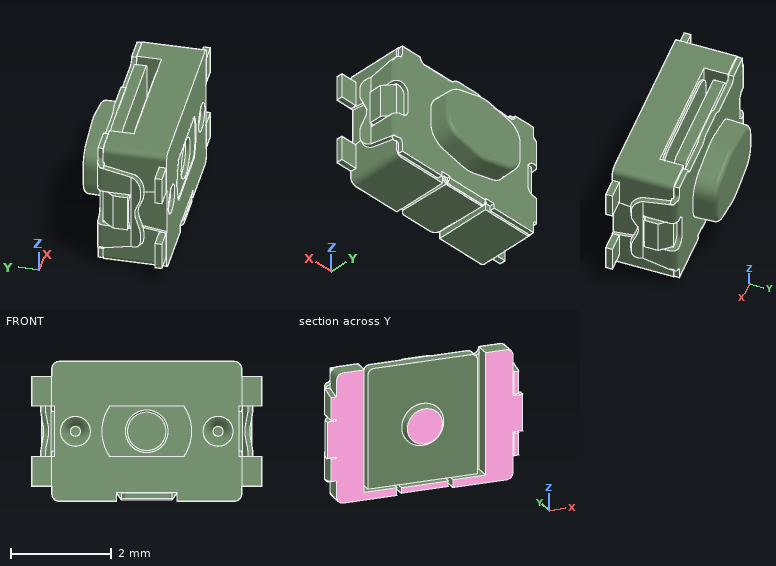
import cadquery as cq
import math


body_length = 3.8
body_height = 2.8
body_depth = 1.3
corner_radius = 0.15

cavity_half_length = 1.295
cavity_front = 0.795
cavity_floor = -1.225
notch_half_length = 0.603

film_thickness = 0.04
film_top = 1.29
film_corner_radius = 0.4

dimple_spacing = 2.85
dimple_diameter = 0.6
dimple_bottom_diameter = 0.2
dimple_wall_depth = 0.085
dimple_flare_depth = 0.3
dimple_flare_sagitta = 0.045
badge_radius = 0.895
badge_half_height = 0.505
badge_depth = 0.02
well_diameter = 0.87
well_bottom_diameter = 0.77
well_depth = 0.1

span = 4.6
terminal_front = 0.01
terminal_thickness = 0.143
terminal_height = 0.6
terminal_center_z = 0.8

recess_depth = 0.055
recess_half_height = badge_half_height
lug_half_height = 0.395
lug_tip_x = 2.1
lug_front = 0.755
lug_shoulder = 1.055

sheet = 0.11
cover_back = body_depth + sheet
cover_half_length = 1.85
cover_half_height = 1.35
cover_recess_depth = 0.14
cover_recess_half_length = 1.335
cover_tab_top = 1.315
cover_tab_half_length = 0.258
cover_tab_root_half_length = 0.52

clip_outer_x = 2.02
clip_inner_x = clip_outer_x - sheet
bend_radius = 0.143
bend_start_x = clip_outer_x - bend_radius
clip_root_half_height = 0.975
clip_shoulder_radius = 0.065
clip_relief_radius = 0.085
clip_end_half_height = 0.85
clip_end_y = 0.7
lip_angle = 26.0
lip_length = 0.235
lip_tilt = math.radians(lip_angle)
hinge_x = clip_outer_x - sheet * math.cos(lip_tilt)
hinge_y = clip_end_y - sheet * math.sin(lip_tilt)
scallop_half_width = 0.385
scallop_apex = 0.065
scallop_blend_radius = 0.3
window_half_height = 0.415
window_corner_front = 0.718
window_corner_start = 0.25
window_inner_x = 1.69
window_corner_radius = 0.185

tongue_half_length = 0.505
tongue_tip_y = -0.028
tongue_tip_top = -1.237
tongue_drop = 0.035
tongue_thickness = 0.1
tongue_corner_radius = 0.15
tongue_bend_chamfer = 0.065
tongue_root_depth = 0.035
tongue_relief_half_length = 0.735

button_half_length = 1.05
button_top = 1.915
button_side_half_flat = 0.185
button_corner_radius = 0.485
button_slant = 14.0
button_crown_half_length = 0.175
button_draft = 2.0
button_edge_fillet = 0.095
flange_half_length = 1.178
flange_front = 1.063
flange_top = 1.35
flange_corner_radius = 0.13
plunger_diameter = 0.9
plunger_tip_diameter = 0.6


def box(x0, x1, y0, y1, z0, z1):
    """Block between the given limits along each axis."""
    return cq.Workplane("XY").box(x1 - x0, y1 - y0, z1 - z0, centered=False).translate((x0, y0, z0))


def facing_front(y):
    """Workplane at depth y, drawn in X and Z; negative extrusion runs toward +Y."""
    return cq.Workplane("XZ", origin=(0, y, 0))


def both_sides(shape):
    """The shape together with its mirror image at the other end in X."""
    return shape.union(shape.mirror("YZ"))


def cone(y0, diameter0, y1, diameter1):
    """Solid cone frustum about the Y axis between depths y0 and y1."""
    return (
        cq.Workplane("XY")
        .polyline([(0, y0), (diameter0 / 2, y0), (diameter1 / 2, y1), (0, y1)])
        .close()
        .revolve(360, (0, 0, 0), (0, 1, 0))
    )


def dimple():
    """Straight-walled mouth that flares inward to a small flat bottom."""
    mouth = dimple_diameter / 2
    bottom = dimple_bottom_diameter / 2
    depth = dimple_wall_depth + dimple_flare_depth
    profile = (
        cq.Workplane("XY")
        .moveTo(0, 0)
        .lineTo(mouth, 0)
        .lineTo(mouth, dimple_wall_depth)
        .sagittaArc((bottom, depth), dimple_flare_sagitta)
        .lineTo(0, depth)
        .close()
    )
    return profile.revolve(360, (0, 0, 0), (0, 1, 0)).translate((dimple_spacing / 2, 0, 0))


def badge():
    """Shallow recess: a disc cut off flat above and below."""
    disc = facing_front(0).circle(badge_radius).extrude(-badge_depth)
    band = box(-badge_radius, badge_radius, 0, badge_depth, -badge_half_height, badge_half_height)
    return disc.intersect(band)


def side_recess():
    """Recess in the end wall, narrowing from the mounting face to the snap lug."""
    outline = [
        (0, recess_half_height),
        (lug_front, lug_half_height),
        (lug_front, -lug_half_height),
        (0, -recess_half_height),
    ]
    floor_x = body_length / 2 - recess_depth
    return cq.Workplane("YZ", origin=(floor_x, 0, 0)).polyline(outline).close().extrude(recess_depth)


def snap_lug():
    root_x = body_length / 2 - recess_depth
    outline = [
        (root_x, lug_front),
        (lug_tip_x, lug_front),
        (lug_tip_x, lug_shoulder),
        (body_length / 2, body_depth),
        (root_x, body_depth),
    ]
    return cq.Workplane("XY").polyline(outline).close().extrude(lug_half_height, both=True)


def housing():
    body = facing_front(0).rect(body_length, body_height).extrude(-body_depth)
    body = body.edges("|Y").fillet(corner_radius)
    top = body_height / 2
    body = body.cut(
        box(-cavity_half_length, cavity_half_length, cavity_front, body_depth, cavity_floor, top)
    )
    body = body.cut(box(-notch_half_length, notch_half_length, 0, body_depth, -top, cavity_floor))
    body = body.cut(both_sides(side_recess())).cut(both_sides(dimple())).cut(badge())
    body = body.cut(cone(0, well_diameter, well_depth, well_bottom_diameter))
    return body.union(both_sides(snap_lug()))


def contact_film():
    film = box(
        -cavity_half_length, cavity_half_length,
        cavity_front, cavity_front + film_thickness,
        cavity_floor, film_top,
    )
    return film.edges("|Y and >Z").fillet(film_corner_radius)


def terminals():
    """Four flat terminals, the upper and lower pair at each end."""
    leads = cq.Workplane("XY")
    root_x = body_length / 2 - 2 * recess_depth
    for z in (-terminal_center_z, terminal_center_z):
        lead = box(
            root_x, span / 2,
            terminal_front, terminal_front + terminal_thickness,
            z - terminal_height / 2, z + terminal_height / 2,
        )
        leads = leads.add(both_sides(lead))
    return leads.combine()


def cover_tab(floor_z):
    """Tab rising from the recessed top edge of the plate, with S-shaped flanks."""
    middle_x = (cover_tab_root_half_length + cover_tab_half_length) / 2
    middle_z = (floor_z + cover_tab_top) / 2
    return (
        facing_front(body_depth)
        .moveTo(cover_tab_half_length, floor_z)
        .lineTo(-cover_tab_half_length, floor_z)
        .lineTo(-cover_tab_half_length, cover_tab_top)
        .lineTo(cover_tab_half_length, cover_tab_top)
        .tangentArcPoint((middle_x, middle_z), relative=False)
        .tangentArcPoint((cover_tab_root_half_length, floor_z), relative=False)
        .close()
        .extrude(-sheet)
    )


def cover_plate():
    """Flat back of the cover with a recessed top edge, a tab in it and a gap around the tongue."""
    plate = box(
        -cover_half_length, cover_half_length, body_depth, cover_back, -cover_half_height, cover_half_height
    )
    floor_z = cover_half_height - cover_recess_depth
    recess = box(
        -cover_recess_half_length, cover_recess_half_length, body_depth, cover_back, floor_z, body_height / 2
    )
    plate = plate.cut(recess.edges("|Y and <Z").fillet(cover_recess_depth))
    tab = cover_tab(floor_z)
    plate = plate.union(tab).union(tab.mirror("YZ"))
    tongue_relief = box(
        -tongue_relief_half_length, tongue_relief_half_length,
        body_depth, cover_back,
        -body_height / 2, tongue_tip_top,
    )
    return plate.cut(tongue_relief)


def clip_strip():
    """Sheet bent forward from the end of the plate, ending in the wedge where the lip tilts out."""
    bend_y = cover_back - bend_radius
    outer_mid = bend_radius * math.sqrt(0.5)
    inner_mid = (bend_radius - sheet) * math.sqrt(0.5)
    return (
        cq.Workplane("XY")
        .moveTo(window_inner_x, body_depth)
        .lineTo(window_inner_x, cover_back)
        .lineTo(bend_start_x, cover_back)
        .threePointArc((bend_start_x + outer_mid, bend_y + outer_mid), (clip_outer_x, bend_y))
        .lineTo(clip_outer_x, clip_end_y)
        .lineTo(hinge_x, hinge_y)
        .lineTo(clip_inner_x, clip_end_y)
        .lineTo(clip_inner_x, bend_y)
        .threePointArc((bend_start_x + inner_mid, bend_y + inner_mid), (bend_start_x, body_depth))
        .close()
        .extrude(body_height / 2, both=True)
    )


def clip_root_outline():
    """Outline in X and Z: a concave relief at the plate and a round shoulder on the bend."""
    relief_x = cover_half_length + clip_relief_radius
    shoulder_z = clip_root_half_height + clip_shoulder_radius
    relief_z = shoulder_z + clip_relief_radius
    relief_mid = clip_relief_radius * math.sqrt(0.5)
    shoulder_mid = clip_shoulder_radius * math.sqrt(0.5)
    half = (
        facing_front(0)
        .moveTo(0, 0)
        .lineTo(0, relief_z)
        .lineTo(cover_half_length, relief_z)
        .threePointArc((relief_x - relief_mid, relief_z - relief_mid), (relief_x, shoulder_z))
        .threePointArc(
            (relief_x + shoulder_mid, clip_root_half_height + shoulder_mid),
            (relief_x + clip_shoulder_radius, clip_root_half_height),
        )
        .lineTo(span / 2, clip_root_half_height)
        .lineTo(span / 2, 0)
        .close()
        .extrude(-cover_back)
    )
    return half.union(half.mirror("XY"))


def clip_wall():
    """Clip wall, tapering from the bend toward the lip."""
    bend_y = cover_back - bend_radius
    half_outline = [
        (cover_back, body_height / 2),
        (bend_y, body_height / 2),
        (bend_y, clip_root_half_height),
        (clip_end_y, clip_end_half_height),
        (hinge_y, clip_end_half_height),
    ]
    outline = half_outline + [(y, -z) for y, z in reversed(half_outline)]
    taper = cq.Workplane("YZ").polyline(outline).close().extrude(span / 2)
    return clip_strip().intersect(taper).intersect(clip_root_outline())


def clip_lip():
    """Lead-in lip, tilted outward, with round corners and a blended scallop in its free edge."""
    corner_start = clip_end_half_height - lip_length
    corner_mid = lip_length * math.sqrt(0.5)
    lip = (
        cq.Workplane("XY")
        .moveTo(-clip_end_half_height, 0)
        .threePointArc((-corner_start - corner_mid, corner_mid), (-corner_start, lip_length))
        .lineTo(-scallop_half_width, lip_length)
        .lineTo(0, scallop_apex)
        .lineTo(scallop_half_width, lip_length)
        .lineTo(corner_start, lip_length)
        .threePointArc((corner_start + corner_mid, corner_mid), (clip_end_half_height, 0))
        .close()
        .extrude(sheet)
    )
    for x in (-scallop_half_width, 0, scallop_half_width):
        corner = cq.selectors.BoxSelector((x - sheet, 0, 0), (x + sheet, lip_length + sheet, sheet))
        lip = lip.edges("|Z").edges(corner).fillet(scallop_blend_radius)
    tilted = cq.Plane(
        origin=(clip_outer_x, clip_end_y, 0),
        xDir=(0, 0, -1),
        normal=(-math.cos(lip_tilt), -math.sin(lip_tilt), 0),
    )
    return cq.Workplane(lip.val().moved(tilted.location))


def clip_window():
    """Opening for the snap lug, cut through wall and bend, with relieved lower corners."""
    window = box(
        window_inner_x, clip_outer_x, lug_front, cover_back, -window_half_height, window_half_height
    )
    window = window.edges("|Y and <X").fillet(window_corner_radius)
    corner = [
        (lug_front, window_corner_start),
        (lug_front, window_half_height),
        (window_corner_front, window_half_height),
    ]
    corner_relief = cq.Workplane("YZ", origin=(clip_inner_x, 0, 0)).polyline(corner).close().extrude(sheet)
    return window.union(corner_relief).union(corner_relief.mirror("XY"))


def cover():
    clip = clip_wall().union(clip_lip()).cut(clip_window())
    plate = cover_plate().cut(both_sides(clip_window()))
    return plate.union(both_sides(clip))


def tongue():
    """Tongue bent forward along the bottom notch, sloping to a tip with rounded corners."""
    root_top = tongue_tip_top - tongue_drop
    profile = [
        (cover_back, tongue_tip_top),
        (cover_back, root_top),
        (cover_back - tongue_bend_chamfer, root_top - tongue_thickness),
        (tongue_tip_y, tongue_tip_top - tongue_thickness),
        (tongue_tip_y, tongue_tip_top),
    ]
    strip = cq.Workplane("YZ").polyline(profile).close().extrude(tongue_half_length, both=True)
    strip = strip.edges("<Y and |Z").fillet(tongue_corner_radius)
    root = [
        (-notch_half_length, tongue_tip_top),
        (notch_half_length, tongue_tip_top),
        (tongue_half_length, root_top - tongue_thickness),
        (-tongue_half_length, root_top - tongue_thickness),
    ]
    return strip.union(facing_front(body_depth).polyline(root).close().extrude(-tongue_root_depth))


def button():
    """Draft-sided button whose long sides rise along a slant to a round crown."""
    slant = math.radians(button_slant)
    swept = math.pi / 2 - slant
    center_x = button_half_length - button_corner_radius
    corner_mid = (
        center_x + button_corner_radius * math.cos(swept / 2),
        button_side_half_flat + button_corner_radius * math.sin(swept / 2),
    )
    corner_end = (
        center_x + button_corner_radius * math.cos(swept),
        button_side_half_flat + button_corner_radius * math.sin(swept),
    )
    crown_z = corner_end[1] + (corner_end[0] - button_crown_half_length) * math.tan(slant)
    crown_rise = button_crown_half_length * math.tan(slant / 2)
    outline = (
        facing_front(body_depth)
        .moveTo(button_half_length, -button_side_half_flat)
        .lineTo(button_half_length, button_side_half_flat)
        .threePointArc(corner_mid, corner_end)
        .lineTo(button_crown_half_length, crown_z)
        .threePointArc((0, crown_z + crown_rise), (-button_crown_half_length, crown_z))
        .lineTo(-corner_end[0], corner_end[1])
        .threePointArc((-corner_mid[0], corner_mid[1]), (-button_half_length, button_side_half_flat))
        .lineTo(-button_half_length, -button_side_half_flat)
        .threePointArc((-corner_mid[0], -corner_mid[1]), (-corner_end[0], -corner_end[1]))
        .lineTo(-button_crown_half_length, -crown_z)
        .threePointArc((0, -crown_z - crown_rise), (button_crown_half_length, -crown_z))
        .lineTo(corner_end[0], -corner_end[1])
        .threePointArc((corner_mid[0], -corner_mid[1]), (button_half_length, -button_side_half_flat))
        .close()
    )
    cap = outline.extrude(body_depth - button_top, taper=button_draft)
    return cap.faces(">Y").edges().fillet(button_edge_fillet)


def flange():
    """Block under the button with rounded upper ends, carrying the conical plunger."""
    block = box(
        -flange_half_length, flange_half_length, flange_front, body_depth, cavity_floor, flange_top
    )
    block = block.edges("|Y and >Z").fillet(flange_corner_radius)
    return block.union(cone(cavity_front, plunger_tip_diameter, flange_front, plunger_diameter))


result = housing()
for component in (contact_film(), terminals(), cover(), tongue(), flange(), button()):
    result = result.union(component)